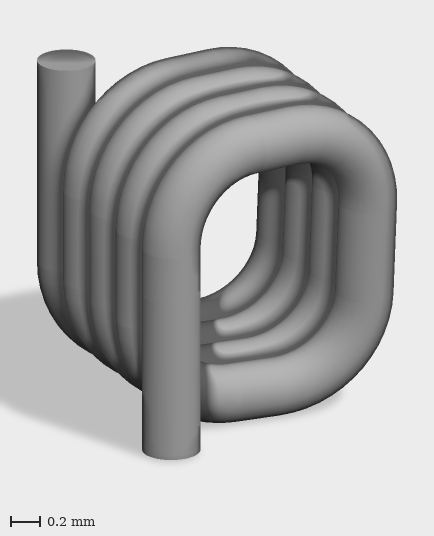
import cadquery as cq
import math

coil_length = 2.01
coil_depth = 1.98
coil_height = 2.32

wire_diameter = 0.4
turns = 4
bend_radius = 0.63
leg_end_inset = 0.019

pitch = (coil_length - wire_diameter) / turns
first_x = -turns * pitch / 2
last_x = turns * pitch / 2
half_depth = (coil_depth - wire_diameter) / 2
half_height = (coil_height - wire_diameter) / 2
front_y = -half_depth
leg_end_z = coil_height / 2 - leg_end_inset
leg_joint_z = 0.0

bottom_run = 2 * half_depth
back_run = 2 * half_height
top_run = bottom_run
advance_slope = pitch / (bottom_run + back_run + top_run)


def turn_corners(start_x):
    """Sharp centreline corners of one turn: along the bottom, up the back, along the top."""
    back_bottom_x = start_x + advance_slope * bottom_run
    back_top_x = back_bottom_x + advance_slope * back_run
    return [
        cq.Vector(start_x, front_y, -half_height),
        cq.Vector(back_bottom_x, half_depth, -half_height),
        cq.Vector(back_top_x, half_depth, half_height),
        cq.Vector(start_x + pitch, front_y, half_height),
    ]


def bend_points(before, corner, after):
    """Start, middle and end of the arc that rounds a centreline corner."""
    back = (before - corner).normalized()
    ahead = (after - corner).normalized()
    half_angle = back.getAngle(ahead) / 2
    setback = bend_radius / math.tan(half_angle)
    corner_to_arc = bend_radius / math.sin(half_angle) - bend_radius
    middle = corner + (back + ahead).normalized() * corner_to_arc
    return corner + back * setback, middle, corner + ahead * setback


def rounded_path(points):
    """Straight runs joined by tangent bends at every inner point."""
    edges = []
    run_start = points[0]
    for before, corner, after in zip(points, points[1:], points[2:]):
        bend_start, bend_middle, bend_end = bend_points(before, corner, after)
        edges.append(cq.Edge.makeLine(run_start, bend_start))
        edges.append(cq.Edge.makeThreePointArc(bend_start, bend_middle, bend_end))
        run_start = bend_end
    edges.append(cq.Edge.makeLine(run_start, points[-1]))
    return cq.Wire.assembleEdges(edges)


def make_coil():
    """Upper leg and all turns as one bent wire."""
    corners = [cq.Vector(first_x, front_y, leg_end_z)]
    for turn in range(turns):
        corners.extend(turn_corners(first_x + turn * pitch))
    corners.append(cq.Vector(last_x, front_y, leg_joint_z))
    section = cq.Workplane("XY", origin=corners[0].toTuple()).circle(wire_diameter / 2)
    return section.sweep(cq.Workplane(obj=rounded_path(corners)))


def make_lower_leg():
    """Straight leg that continues down from the end of the last turn."""
    top_face = cq.Workplane("XY", origin=(last_x, front_y, leg_joint_z))
    return top_face.circle(wire_diameter / 2).extrude(-(leg_end_z + leg_joint_z))


coil = make_coil()
lower_leg = make_lower_leg()

result = cq.Compound.makeCompound([coil.val(), lower_leg.val()])